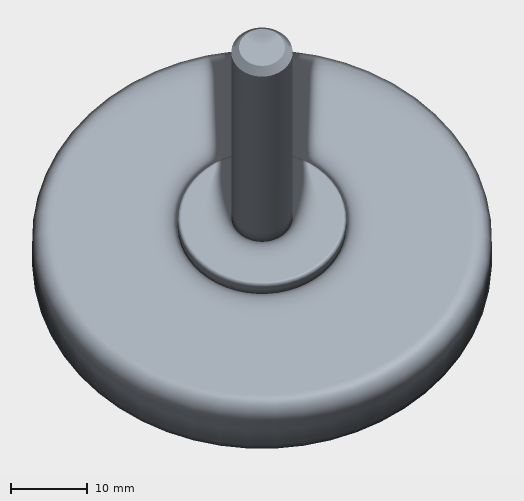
import cadquery as cq

pad_diameter = 60.0
pad_height = 10.0
pad_edge_radius = 2.5

collar_diameter = 22.0
collar_height = 2.0
collar_edge_radius = 0.5

overall_height = 49.0
stud_diameter = 8.0
stud_tip_chamfer = 1.0

collar_top = pad_height + collar_height
stud_length = overall_height - collar_top


def cylinder(diameter, base_height, length):
    """Upright cylinder on the Z axis."""
    return cq.Workplane("XY").workplane(offset=base_height).circle(diameter / 2).extrude(length)


pad = cylinder(pad_diameter, 0, pad_height).edges("%CIRCLE").fillet(pad_edge_radius)

collar = cylinder(collar_diameter, pad_height, collar_height).faces(">Z").edges().fillet(collar_edge_radius)

stud = cylinder(stud_diameter, collar_top, stud_length).faces(">Z").edges().chamfer(stud_tip_chamfer)

result = pad.union(collar).union(stud)